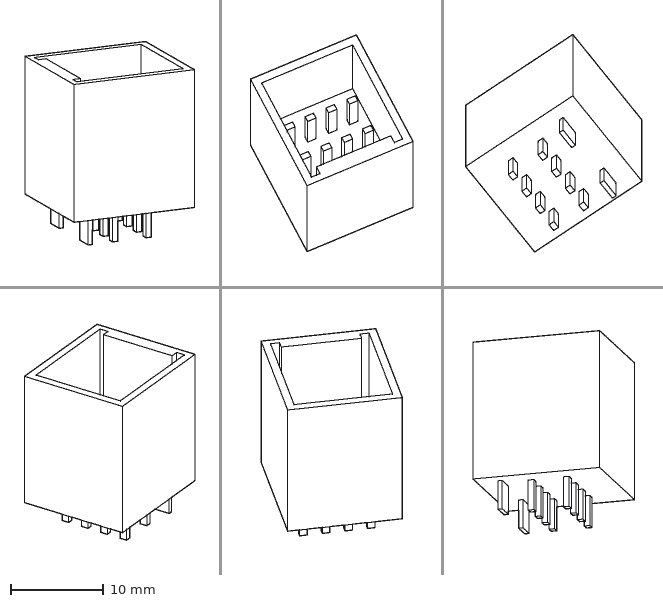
import cadquery as cq

body_x = 12.7
body_y = 14.4
body_z = 15.5

cavity_depth = 10.25
side_wall = 0.9
back_wall = 0.95
front_wall = 0.75

rib_x = 8.9
rib_y = 0.9

pin_pitch = 2.5
pins_per_row = 4
row_spacing = 4.0
front_row_y = -1.27
pin_y = 0.65
contact_x = 1.0
contact_recess = 5.4
tail_x = 0.85
tail_length = 3.4

tab_x = 2.25
tab_y = 0.5
tab_length = 3.2
tab_spacing = 7.5
tab_center_y = -4.57

floor_z = body_z - cavity_depth
contact_top_z = body_z - contact_recess
cavity_front_y = -body_y / 2 + front_wall
cavity_back_y = body_y / 2 - back_wall


def block(size_x, size_y, z_bottom, z_top, center_x=0.0, center_y=0.0):
    """Upright box centred on (center_x, center_y) between two heights."""
    height = z_top - z_bottom
    box = cq.Workplane("XY").box(size_x, size_y, height, centered=(True, True, False))
    return box.translate((center_x, center_y, z_bottom))


def make_housing():
    """Open-topped box with the polarising rib left standing in its cavity."""
    cavity_x = body_x - 2 * side_wall
    cavity_y = cavity_back_y - cavity_front_y
    cavity_center_y = (cavity_back_y + cavity_front_y) / 2
    cavity = block(cavity_x, cavity_y, floor_z, body_z, center_y=cavity_center_y)
    rib = block(rib_x, rib_y, floor_z, body_z, center_y=cavity_front_y + rib_y / 2)
    return block(body_x, body_y, 0, body_z).cut(cavity.cut(rib))


def make_pin(x, y):
    """Contact rising from the cavity floor and solder tail below the housing."""
    contact = block(contact_x, pin_y, 0, contact_top_z, x, y)
    tail = block(tail_x, pin_y, -tail_length, floor_z, x, y)
    return contact.union(tail)


result = make_housing()

for row_y in (front_row_y, front_row_y + row_spacing):
    for index in range(pins_per_row):
        pin_x = (index - (pins_per_row - 1) / 2) * pin_pitch
        result = result.union(make_pin(pin_x, row_y))

for side in (-1, 1):
    tab_center_x = side * tab_spacing / 2
    result = result.union(block(tab_x, tab_y, -tab_length, floor_z / 2, tab_center_x, tab_center_y))